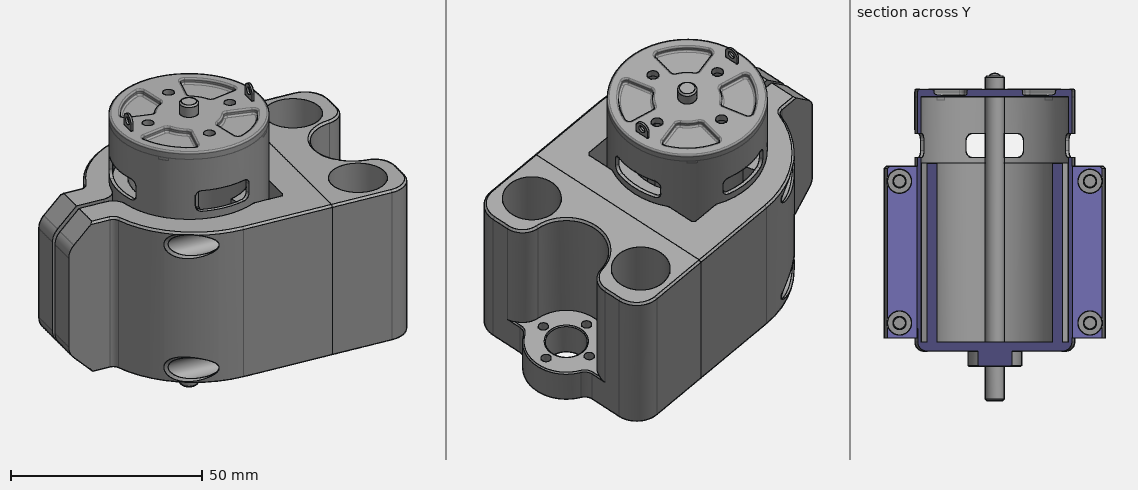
import cadquery as cq
import math


overall_length = 98.9
width = 58.0
height = 45.0
split_y = 27.5
edge_chamfer = 0.6
trim = 4.9
margin = 0.1

motor_radius = 21.0
round_center_y = 1.5
round_radius = width / 2
ear_outer_x = 8.8
ear_tip_y = -39.6
neck_fillet = 2.0
gap = 1.5
gap_mouth_fillet = 4.1
window_half_width = 18.6
window_end_y = 18.5
window_corner = 1.0
tip_slope = 7.0
tip_fillet = 5.0

screw_x = 24.9
screw_z_low = 4.0
screw_z_high = height - screw_z_low
screw_clearance_diameter = 3.5
screw_thread_diameter = 3.1
screw_thread_depth = 4.0
head_diameter = 6.2
head_seat_y = 17.8

block_end_y = 51.9
block_corner = 7.0
post_hole_x = 19.0
post_hole_y = 40.0
post_hole_diameter = 15.4
boss_y = 47.9
boss_top_z = 10.0
boss_end_y = overall_length + ear_tip_y
boss_radius = boss_end_y - boss_y
boss_chamfer = 0.4
boss_fillet = 3.0
recess_radius = 11.1
recess_mouth_fillet = 6.0
bearing_diameter = 11.0
bearing_chamfer = 0.3
bearing_screw_diameter = 2.7
bearing_screw_offset = 8.0

can_bottom_z = -3.5
can_bottom_fillet = 2.5
can_wall = 1.0
can_inner_radius = motor_radius - can_wall
can_floor_z = can_bottom_z + can_bottom_fillet
nose_diameter = 14.1
nose_bottom_z = -7.4
nose_chamfer = 0.3
vent_half_angle = 22
vent_bottom_z = 47.3
vent_top_z = 53.5
vent_corner = 1.8

magnet_inner_radius = 16.0
magnet_top_z = 45.8
magnet_gap_half_angle = 17

cap_bottom_z = 63.1
cap_top_z = 65.2
cap_fillet = 0.5
cap_tab_width = 2.8
cap_tab_height = 0.8
cap_hole_diameter = 3.1
cap_hole_offset = 12.0
pocket_depth = 1.6
pocket_outer_radius = 18.0
pocket_wide_half_angle = 26.5
pocket_inner_radius = 9.1
pocket_narrow_half_angle = 20.5
pocket_corner = 1.2
pocket_edge = 0.5

shaft_diameter = 5.0
shaft_bottom_z = -16.4
shaft_top_z = 68.6
shaft_chamfer = 0.5

terminal_width = 4.1
terminal_thickness = 0.6
terminal_y = 17.7
terminal_top_z = 69.3
terminal_hole_diameter = 2.1


def cylinder(radius, bottom_z, top_z):
    """Upright cylinder on the motor axis."""
    return cq.Workplane("XY").workplane(offset=bottom_z).circle(radius).extrude(top_z - bottom_z)


def box(x_min, x_max, y_min, y_max, z_min, z_max):
    """Box given by its limits."""
    size = (x_max - x_min, y_max - y_min, z_max - z_min)
    return cq.Workplane("XY").box(*size, centered=False).translate((x_min, y_min, z_min))


def polar_point(radius, degrees):
    """Point at an angle from +X about the motor axis."""
    angle = math.radians(degrees)
    return radius * math.cos(angle), radius * math.sin(angle)


def turned(body, angle):
    """Body turned about the motor axis."""
    return body.rotate((0, 0, 0), (0, 0, 1), angle)


def upright_edges_near(x, y):
    """Selector for vertical edges of the clamp or block at (x, y)."""
    low_corner = (x - margin, y - margin, 0)
    high_corner = (x + margin, y + margin, height)
    return cq.selectors.BoxSelector(low_corner, high_corner)


def screw_holes(diameter, y_start, y_end):
    """Four round bars along Y at the screw positions."""
    points = [(x, z) for x in (-screw_x, screw_x) for z in (screw_z_low, screw_z_high)]
    plane = cq.Workplane("XZ", origin=(0, y_start, 0))
    return plane.pushPoints(points).circle(diameter / 2).extrude(y_start - y_end)


def clamp_outline():
    """Solid clamp without openings: straight sides, round front and a neck that carries the ears."""
    neck_y = round_center_y - math.sqrt(round_radius**2 - ear_outer_x**2)
    half = width / 2
    back_y = split_y + trim
    body = (
        cq.Workplane("XY")
        .moveTo(-half, back_y)
        .lineTo(-half, round_center_y)
        .radiusArc((-ear_outer_x, neck_y), -round_radius)
        .lineTo(-ear_outer_x, ear_tip_y - trim)
        .lineTo(ear_outer_x, ear_tip_y - trim)
        .lineTo(ear_outer_x, neck_y)
        .radiusArc((half, round_center_y), -round_radius)
        .lineTo(half, back_y)
        .close()
        .extrude(height)
    )
    for x in (-ear_outer_x, ear_outer_x):
        body = body.edges(upright_edges_near(x, neck_y)).fillet(neck_fillet)
    return body


def clamp_side_profile():
    """Block that trims the clamp at the split plane and gives the ears their sloped tips."""
    half = width / 2
    block = box(-half, half, ear_tip_y, split_y, 0, height)
    block = block.faces("<Y").edges("|X").chamfer(tip_slope)
    return block.faces("<Y").edges("|X").fillet(tip_fillet)


def clamp_bore():
    """Motor bore with its rectangular window and the gap between the ears."""
    bore = cylinder(motor_radius, 0, height)
    window = box(-window_half_width, window_half_width, 0, window_end_y, 0, height)
    window = window.edges("|Z and >Y").fillet(window_corner)
    slot = box(-gap / 2, gap / 2, ear_tip_y, 0, 0, height)
    return bore.union(window).union(slot)


def make_clamp():
    outline = clamp_outline()
    body = outline.cut(screw_holes(head_diameter, ear_tip_y, head_seat_y))
    reach = width / 2
    low_corner = (-reach, ear_tip_y, 0)
    high_corner = (reach, round_center_y, height)
    sides = cq.selectors.BoxSelector(low_corner, high_corner, boundingbox=True)
    body = body.edges(sides).edges("not(%LINE or %CIRCLE)").chamfer(edge_chamfer)
    body = body.intersect(outline.faces(">Z").edges().chamfer(edge_chamfer))
    body = body.intersect(clamp_side_profile()).cut(clamp_bore())
    mouth_y = -math.sqrt(motor_radius**2 - (gap / 2) ** 2)
    for x in (-gap / 2, gap / 2):
        body = body.edges(upright_edges_near(x, mouth_y)).fillet(gap_mouth_fillet)
    return body.cut(screw_holes(screw_clearance_diameter, head_seat_y, split_y))


def block_outline():
    """Mounting block with rounded rear corners, open toward the recess around the boss."""
    half = width / 2
    body = box(-half, half, split_y - trim, block_end_y, 0, height)
    body = body.edges("|Z and >Y").fillet(block_corner)
    body = body.cut(cylinder(recess_radius, 0, height).translate((0, boss_y, 0)))
    mouth_x = math.sqrt(recess_radius**2 - (block_end_y - boss_y) ** 2)
    for x in (-mouth_x, mouth_x):
        body = body.edges(upright_edges_near(x, block_end_y)).fillet(recess_mouth_fillet)
    body = body.faces(">Z").edges().chamfer(edge_chamfer)
    return body.intersect(box(-half, half, split_y, block_end_y, 0, height))


def bearing_boss():
    """Low floor of the recess whose round boss stands out behind the block."""
    reach = post_hole_x
    front_y = boss_y - recess_radius - edge_chamfer
    floor = box(-reach, reach, front_y, block_end_y, 0, boss_top_z)
    boss = cylinder(boss_radius, 0, boss_top_z).translate((0, boss_y, 0))
    floor = floor.union(boss)
    root_x = math.sqrt(boss_radius**2 - (block_end_y - boss_y) ** 2)
    for x in (-root_x, root_x):
        floor = floor.edges(upright_edges_near(x, block_end_y)).fillet(boss_fillet)
    return floor.faces(">Z").edges(">Y").chamfer(boss_chamfer)


def bearing_hole():
    """Hole through the boss, bevelled at its upper rim."""
    radius = bearing_diameter / 2
    rim_z = boss_top_z - bearing_chamfer
    rim = cq.Solid.makeCone(radius, radius + bearing_chamfer, bearing_chamfer, pnt=cq.Vector(0, 0, rim_z))
    hole = cylinder(radius, 0, boss_top_z).union(cq.Workplane(rim))
    return hole.translate((0, boss_y, 0))


def make_mounting_block():
    body = block_outline().union(bearing_boss())
    posts = cq.Workplane("XY").pushPoints([(-post_hole_x, post_hole_y), (post_hole_x, post_hole_y)])
    body = body.cut(posts.circle(post_hole_diameter / 2).extrude(height))
    body = body.cut(bearing_hole())
    screws = cq.Workplane("XY", origin=(0, boss_y, 0)).polarArray(bearing_screw_offset, 0, 360, 4)
    body = body.cut(screws.circle(bearing_screw_diameter / 2).extrude(boss_top_z))
    return body.cut(screw_holes(screw_thread_diameter, split_y, split_y + screw_thread_depth))


def vent():
    """Wedge on the +X side, with rounded corners, that widens outward from the motor axis."""
    slope = math.tan(math.radians(vent_half_angle))
    inner_x = motor_radius / 2
    outer_x = motor_radius
    wedge = (
        cq.Workplane("XY", origin=(0, 0, vent_bottom_z))
        .moveTo(inner_x, -inner_x * slope)
        .lineTo(outer_x, -outer_x * slope)
        .lineTo(outer_x, outer_x * slope)
        .lineTo(inner_x, inner_x * slope)
        .close()
        .extrude(vent_top_z - vent_bottom_z)
    )
    return wedge.edges("not(|Y or |Z)").fillet(vent_corner)


def motor_can():
    """Thin can with a bearing nose below and a rounded vent on each of four sides."""
    can = cylinder(motor_radius, can_bottom_z, cap_bottom_z).faces("<Z").edges().fillet(can_bottom_fillet)
    can = can.cut(cylinder(can_inner_radius, can_floor_z, cap_bottom_z))
    for angle in (0, 90, 180, 270):
        can = can.cut(turned(vent(), angle))
    nose = cylinder(nose_diameter / 2, nose_bottom_z, can_bottom_z)
    return can.union(nose.faces("<Z").chamfer(nose_chamfer))


def magnet():
    """Curved magnet on the inside of the can, centred on +Y."""
    inner_x, inner_y = polar_point(magnet_inner_radius, magnet_gap_half_angle)
    outer_x, outer_y = polar_point(can_inner_radius, magnet_gap_half_angle)
    profile = (
        cq.Workplane("XY", origin=(0, 0, can_floor_z))
        .moveTo(inner_x, inner_y)
        .threePointArc((0, magnet_inner_radius), (-inner_x, inner_y))
        .lineTo(-outer_x, outer_y)
        .threePointArc((0, can_inner_radius), (outer_x, outer_y))
        .close()
    )
    return profile.extrude(magnet_top_z - can_floor_z)


def cap_pocket():
    """Pocket centred on +X, between two arcs about the motor axis and two straight sides."""
    pocket = (
        cq.Workplane("XY", origin=(0, 0, cap_top_z - pocket_depth))
        .moveTo(*polar_point(pocket_inner_radius, -pocket_narrow_half_angle))
        .lineTo(*polar_point(pocket_outer_radius, -pocket_wide_half_angle))
        .threePointArc((pocket_outer_radius, 0), polar_point(pocket_outer_radius, pocket_wide_half_angle))
        .lineTo(*polar_point(pocket_inner_radius, pocket_narrow_half_angle))
        .threePointArc(
            (pocket_inner_radius, 0), polar_point(pocket_inner_radius, -pocket_narrow_half_angle)
        )
        .close()
        .extrude(pocket_depth)
    )
    return pocket.edges("|Z").fillet(pocket_corner)


def motor_cap():
    """Flat cap with four pockets, whose edges are rounded, and four small holes between them."""
    cap = cylinder(motor_radius, cap_bottom_z, cap_top_z).faces(">Z").edges().fillet(cap_fillet)
    pocket = cap_pocket()
    for angle in (45, 135, 225, 315):
        cap = cap.cut(turned(pocket, angle))
    reach = pocket_outer_radius
    low_corner = (-reach, -reach, cap_top_z - pocket_depth - margin)
    high_corner = (reach, reach, cap_top_z + margin)
    inside = cq.selectors.BoxSelector(low_corner, high_corner, boundingbox=True)
    cap = cap.edges(inside).edges("#Z").fillet(pocket_edge)
    holes = cq.Workplane("XY", origin=(0, 0, cap_bottom_z)).polarArray(cap_hole_offset, 0, 360, 4)
    return cap.cut(holes.circle(cap_hole_diameter / 2).extrude(cap_top_z - cap_bottom_z))


def cap_tabs():
    """Four tabs below the cap rim that fill notches in the can, flush with its wall."""
    half = cap_tab_width / 2
    bottom_z = cap_bottom_z - cap_tab_height
    ring = cylinder(motor_radius, bottom_z, cap_bottom_z)
    ring = ring.cut(cylinder(can_inner_radius, bottom_z, cap_bottom_z))
    bar = box(-motor_radius, motor_radius, -half, half, bottom_z, cap_bottom_z)
    bars = turned(bar, 45).union(turned(bar, 135))
    return ring.intersect(bars)


def terminal(y):
    """Upright tab with a round end and an eyelet."""
    radius = terminal_width / 2
    center_z = terminal_top_z - radius
    plane = cq.Workplane("XZ", origin=(0, y + terminal_thickness / 2, center_z))
    stem = plane.center(0, (cap_top_z - center_z) / 2).rect(terminal_width, center_z - cap_top_z)
    tab = stem.extrude(terminal_thickness).union(plane.circle(radius).extrude(terminal_thickness))
    return tab.cut(plane.circle(terminal_hole_diameter / 2).extrude(terminal_thickness))


def make_motor():
    shaft = cylinder(shaft_diameter / 2, shaft_bottom_z, shaft_top_z)
    body = motor_can().union(shaft.faces("<Z or >Z").edges().chamfer(shaft_chamfer))
    for angle in (0, 180):
        body = body.union(turned(magnet(), angle))
    tabs = cap_tabs()
    cap = motor_cap()
    for y in (-terminal_y, terminal_y):
        cap = cap.union(terminal(y))
    cap = cap.cut(shaft)
    return body.cut(tabs).union(cap, clean=False).union(tabs, clean=False)


clamp = make_clamp()
mounting_block = make_mounting_block()
motor = make_motor()
result = cq.Compound.makeCompound([clamp.val(), mounting_block.val(), motor.val()])